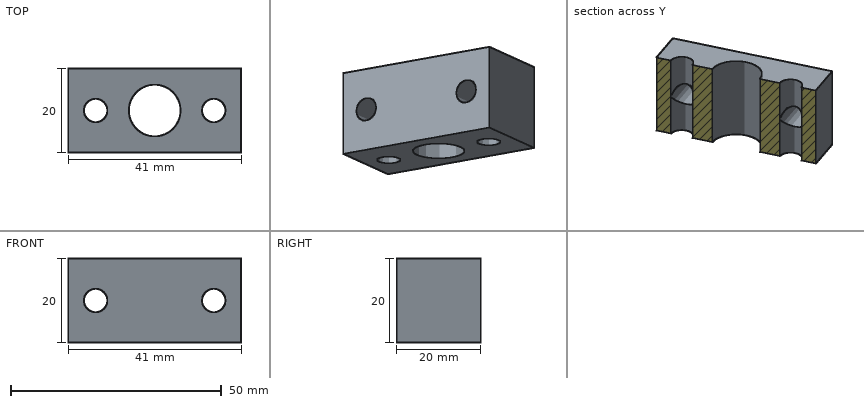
import cadquery as cq

length_x = 41.0
depth_y = 20.0
height_z = 20.0

bore_diameter = 12.2
bolt_diameter = 5.5
bolt_spacing = 28.0


def bolt_pair(block, face):
    """Drill two bolt holes through the block, normal to the face, spaced along X."""
    return (
        block.faces(face)
        .workplane(centerOption="CenterOfBoundBox")
        .rarray(bolt_spacing, 1, 2, 1)
        .hole(bolt_diameter)
    )


def central_bore(block):
    """Bore the vertical through hole at the centre of the block."""
    return block.faces(">Z").workplane(centerOption="CenterOfBoundBox").hole(bore_diameter)


result = cq.Workplane("XY").box(length_x, depth_y, height_z)
result = central_bore(result)
for drilled_face in (">Z", "<Y"):
    result = bolt_pair(result, drilled_face)